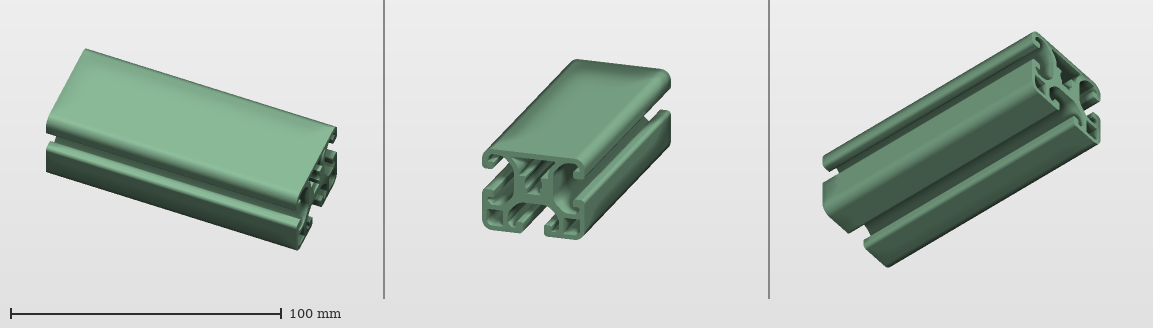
import cadquery as cq
import math


length = 100.0
width = 40.0
height = 32.0
half_width = width / 2
bottom = -half_width
top = height - half_width
corner_radius = 4.0

mouth_half = 4.05
lip_inner = 15.5
lip_width = 2.95
undercut_half = mouth_half + lip_width
undercut_depth = 17.9
cavity_half = 10.0
cavity_chamfer = 1.6
slot_floor = 7.65
brace_radius = 5.0

brace_offset = 2.1
brace_across = slot_floor - brace_offset
brace_depth = cavity_half + brace_offset

lip_outer_radius = 1.5
upper_lip_inner_radius = 1.0
lip_inner_radius = 0.75
undercut_radius = 0.6
lip_heel_radius = 0.5

brace_thickness = 2.0
chamber_top = 9.95
chamber_floor = 2.8
chamber_tip_radius = 0.5
bore_radius = 3.45
neck_half = 2.85
pocket_half = 2.5
pocket_top = -2.0
pocket_floor = -4.05

wall = 1.8
hollow_near = cavity_half + wall
hollow_far = half_width - wall
hollow_outer_radius = corner_radius - wall
hollow_radius = 0.5


def profile_box(y_min, y_max, z_min, z_max):
    """Full-length bar with a rectangular section."""
    bar = cq.Workplane("YZ").center((y_min + y_max) / 2, (z_min + z_max) / 2)
    return bar.rect(y_max - y_min, z_max - z_min).extrude(length)


def round_edges(body, corners, radius):
    """Fillet the lengthwise edges that pass through the given (Y, Z) corners."""
    for y, z in corners:
        edge = cq.selectors.NearestToPointSelector((length / 2, y, z))
        body = body.edges("|X").edges(edge).fillet(radius)
    return body


def mirrored(y, z):
    """The (Y, Z) corner on both sides of the profile."""
    return [(y, z), (-y, z)]


def make_slot():
    """Void of the T-slot opening to -Y."""
    chamfer_across = cavity_half - cavity_chamfer
    chamfer_depth = undercut_depth - cavity_chamfer
    upper_half = (
        cq.Workplane("YZ")
        .moveTo(-half_width, 0)
        .lineTo(-half_width, mouth_half)
        .lineTo(-lip_inner, mouth_half)
        .lineTo(-lip_inner, undercut_half)
        .lineTo(-undercut_depth, undercut_half)
        .lineTo(-undercut_depth, chamfer_across)
        .lineTo(-chamfer_depth, cavity_half)
        .lineTo(-brace_depth, cavity_half)
        .lineTo(-slot_floor, brace_across)
        .lineTo(-slot_floor, 0)
        .close()
        .extrude(length)
    )
    brace_ends = [(-brace_depth, cavity_half), (-slot_floor, brace_across)]
    upper_half = round_edges(upper_half, brace_ends, brace_radius)
    return upper_half.union(upper_half.mirror("XY"))


def turned(body, angle):
    """Body turned about the bore axis."""
    return body.rotate((0, 0, 0), (1, 0, 0), angle)


def make_chamber():
    """Flared void whose sides run parallel to the upper slot floors and braces."""
    side = slot_floor - brace_thickness
    flare_offset = brace_offset - brace_thickness * math.sqrt(2)
    flare_start = side - flare_offset
    tip = chamber_top + flare_offset
    chamber = (
        cq.Workplane("YZ")
        .moveTo(-side, chamber_floor)
        .lineTo(-side, flare_start)
        .lineTo(-tip, chamber_top)
        .lineTo(tip, chamber_top)
        .lineTo(side, flare_start)
        .lineTo(side, chamber_floor)
        .close()
        .extrude(length)
    )
    chamber = round_edges(chamber, mirrored(side, flare_start), brace_radius + brace_thickness)
    return round_edges(chamber, mirrored(tip, chamber_top), chamber_tip_radius)


def make_screw_bore():
    """Round bore opening up through a neck, with a narrower pocket below it."""
    bore = cq.Workplane("YZ").circle(bore_radius).extrude(length)
    bore = bore.intersect(profile_box(-bore_radius, bore_radius, pocket_top, chamber_floor))
    neck = profile_box(-neck_half, neck_half, 0, chamber_floor)
    pocket = profile_box(-pocket_half, pocket_half, pocket_floor, 0)
    return bore.union(neck).union(pocket)


def make_corner_hollow():
    """Square void in the lower -Y corner."""
    hollow = profile_box(-hollow_far, -hollow_near, -hollow_far, -hollow_near)
    hollow = round_edges(hollow, [(-hollow_far, -hollow_far)], hollow_outer_radius)
    inner_corners = [
        (-hollow_far, -hollow_near),
        (-hollow_near, -hollow_far),
        (-hollow_near, -hollow_near),
    ]
    return round_edges(hollow, inner_corners, hollow_radius)


def round_lips(body):
    """Round the lip noses of all three slots and the corners of the lower side undercuts."""
    outer = (
        mirrored(half_width, mouth_half)
        + mirrored(half_width, -mouth_half)
        + mirrored(mouth_half, bottom)
    )
    inner = (
        mirrored(lip_inner, -mouth_half)
        + mirrored(mouth_half, -lip_inner)
        + mirrored(undercut_half, -lip_inner)
    )
    body = round_edges(body, outer, lip_outer_radius)
    body = round_edges(body, mirrored(lip_inner, mouth_half), upper_lip_inner_radius)
    body = round_edges(body, inner, lip_inner_radius)
    body = round_edges(body, mirrored(lip_inner, undercut_half), lip_heel_radius)
    return round_edges(body, mirrored(undercut_depth, -undercut_half), undercut_radius)


body = profile_box(-half_width, half_width, bottom, top).edges("|X").fillet(corner_radius)

slot = make_slot()
slot_angles = (0, 90, 180)
for slot_angle in slot_angles:
    body = body.cut(turned(slot, slot_angle))

body = body.cut(make_chamber().union(make_screw_bore()))

corner_hollow = make_corner_hollow()
body = body.cut(corner_hollow).cut(corner_hollow.mirror("XZ"))

result = round_lips(body)